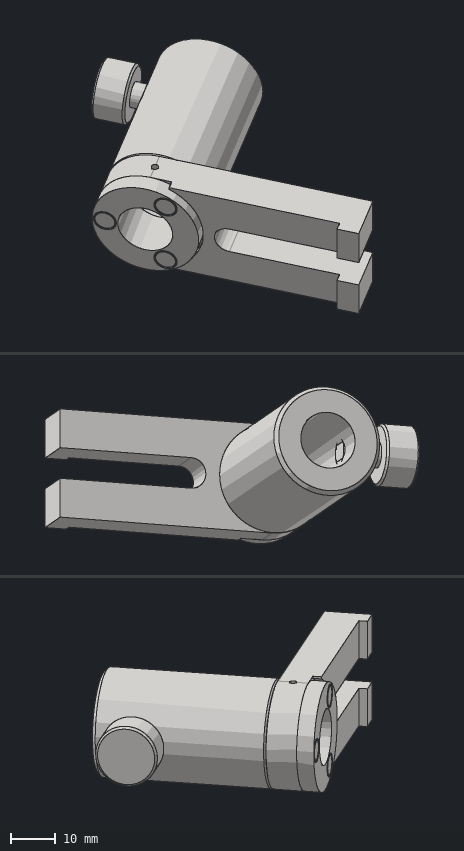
import cadquery as cq
import math

outer_diameter = 25.0
outer_radius = outer_diameter / 2
bore_radius = 6.4
total_length = 51.05

tube_back_chamfer = 0.9
tube_front_chamfer = 0.5

arm_end = 50.0
arm_front = 2.0
arm_back = 11.0
foot_length = 5.1
slot_width = 7.0
slot_start = 15.6
seat_radius = 13.0
shelf_end = 4.95
lock_hole_radius = 0.8
lock_hole_y = 7.45

flange_thickness = 3.95
neck_radius = 8.45

magnet_count = 3
magnet_circle_radius = 9.5
magnet_radius = 2.5
magnet_chamfer = 0.15
pocket_chamfer = 0.2

screw_y = 40.8
knob_radius = 7.1
knob_start = -22.9
knob_length = 7.8
knob_chamfer = 0.5
knob_end = knob_start + knob_length
stem_radius = 3.0
stem_end = -6.1


def y_cylinder(radius, start, end, x=0, z=0):
    """Cylinder along Y between two Y positions."""
    return cq.Workplane("XZ", origin=(x, start, z)).circle(radius).extrude(start - end)


def screw_cylinder(radius, start, end):
    """Cylinder on the thumb screw axis between two X positions."""
    return cq.Workplane("YZ", origin=(start, screw_y, 0)).circle(radius).extrude(end - start)


def block(x_start, x_end, depth, height):
    """Block from Y = 0 to the given depth, centred on Z = 0."""
    plane = cq.Workplane("XY", origin=(x_start, 0, 0))
    return plane.box(x_end - x_start, depth, height, centered=(False, False, True))


def make_tube():
    tube = y_cylinder(outer_radius, arm_back, total_length)
    tube = tube.faces(">Y").chamfer(tube_back_chamfer)
    tube = tube.faces("<Y").chamfer(tube_front_chamfer)
    tube = tube.cut(y_cylinder(bore_radius, arm_back, total_length))
    return tube.cut(screw_cylinder(stem_radius, knob_end, stem_end))


def make_arm():
    arm = y_cylinder(outer_radius, 0, arm_back).union(block(0, arm_end, arm_back, outer_diameter))

    arm = arm.cut(block(0, arm_end - foot_length, arm_front, outer_diameter))

    arm = arm.cut(y_cylinder(seat_radius, 0, flange_thickness))
    arm = arm.cut(block(-outer_radius, shelf_end, flange_thickness, outer_diameter))

    slot_radius = slot_width / 2
    slot_center = slot_start + slot_radius
    arm = arm.cut(y_cylinder(slot_radius, 0, arm_back, x=slot_center))
    arm = arm.cut(block(slot_center, arm_end, arm_back, slot_width))

    arm = arm.cut(y_cylinder(neck_radius, 0, arm_back))
    lock_hole = cq.Workplane("XY", origin=(0, lock_hole_y, 0)).circle(lock_hole_radius)
    return arm.cut(lock_hole.extrude(outer_radius))


def magnet_centers():
    """X and Z of the magnets, the first one on the -X side."""
    angles = [math.pi + i * 2 * math.pi / magnet_count for i in range(magnet_count)]
    return [(magnet_circle_radius * math.cos(a), magnet_circle_radius * math.sin(a)) for a in angles]


def make_magnet(x, z):
    magnet = y_cylinder(magnet_radius, 0, flange_thickness, x, z)
    return magnet.faces("<Y").chamfer(magnet_chamfer)


def make_magnet_pocket(x, z):
    """Magnet hole with a countersunk mouth."""
    mouth_radius = magnet_radius + pocket_chamfer
    profile = [
        (0, 0),
        (mouth_radius, 0),
        (magnet_radius, pocket_chamfer),
        (magnet_radius, flange_thickness),
        (0, flange_thickness),
    ]
    pocket = cq.Workplane("XY").polyline(profile).close().revolve(360, (0, 0), (0, 1))
    return pocket.translate((x, 0, z))


def make_flange():
    flange = y_cylinder(outer_radius, 0, flange_thickness)
    flange = flange.union(y_cylinder(neck_radius, 0, arm_back))
    flange = flange.cut(y_cylinder(bore_radius, 0, arm_back))
    for x, z in magnet_centers():
        flange = flange.cut(make_magnet_pocket(x, z))
    return flange


def make_knob():
    return screw_cylinder(knob_radius, knob_start, knob_end).edges().chamfer(knob_chamfer)


def make_stem():
    return screw_cylinder(stem_radius, knob_end, stem_end)


tube = make_tube()
arm = make_arm()
flange = make_flange()
magnets = [make_magnet(x, z) for x, z in magnet_centers()]
knob = make_knob()
stem = make_stem()

result = cq.Compound.makeCompound(
    [
        tube.val(),
        arm.val(),
        flange.val(),
        *[magnet.val() for magnet in magnets],
        knob.val(),
        stem.val(),
    ]
)